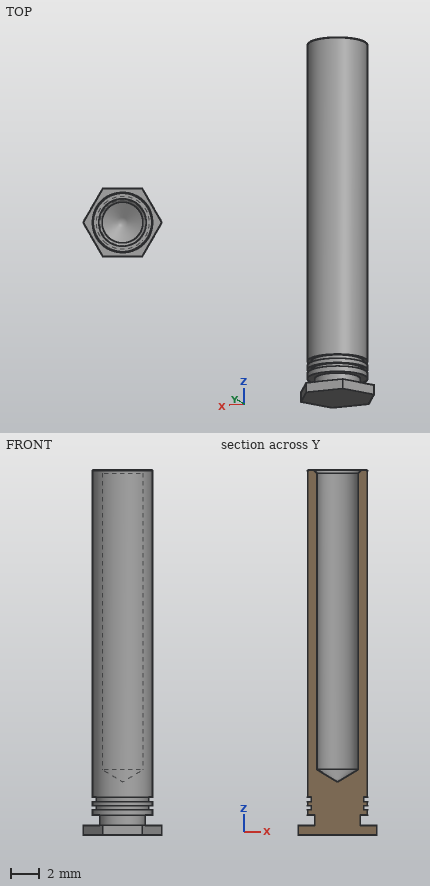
import cadquery as cq
import math

total_height = 25.4
head_across_flats = 4.75
head_across_corners = head_across_flats / math.cos(math.radians(30))

body_diameter = 4.2
groove_diameter = 3.68
neck_diameter = 3.18
bore_diameter = 2.85

head_top = 0.69
neck_top = 1.4
lower_rib_top = 1.78
upper_rib_bottom = 2.03
upper_rib_top = 2.34
tube_bottom = 2.65

bore_floor = 4.57
drill_point_angle = 118.0
mouth_chamfer = 0.23
rim_chamfer = 0.064


def cylinder(diameter, bottom, top):
    """Round section on the Z axis between two heights."""
    return cq.Workplane("XY").workplane(offset=bottom).circle(diameter / 2).extrude(top - bottom)


def hex_head():
    """Hexagon with two corners on the X axis."""
    return cq.Workplane("XY").polygon(6, head_across_corners).extrude(head_top)


def shank():
    """Neck, two ribs separated by grooves, and the long tube above them."""
    tube = cylinder(body_diameter, tube_bottom, total_height).faces(">Z").chamfer(rim_chamfer)
    core = cylinder(groove_diameter, neck_top, tube_bottom)
    lower_rib = cylinder(body_diameter, neck_top, lower_rib_top)
    upper_rib = cylinder(body_diameter, upper_rib_bottom, upper_rib_top)
    neck = cylinder(neck_diameter, head_top, neck_top)
    return neck.union(core).union(lower_rib).union(upper_rib).union(tube)


def blind_bore():
    """Drilled hole with a conical floor and a chamfered mouth."""
    radius = bore_diameter / 2
    tip_depth = radius / math.tan(math.radians(drill_point_angle / 2))
    profile = (
        cq.Workplane("XZ")
        .moveTo(0, bore_floor - tip_depth)
        .lineTo(radius, bore_floor)
        .lineTo(radius, total_height - mouth_chamfer)
        .lineTo(radius + mouth_chamfer, total_height)
        .lineTo(0, total_height)
        .close()
    )
    return profile.revolve(360, (0, 0, 0), (0, 1, 0))


result = hex_head().union(shank()).cut(blind_bore())